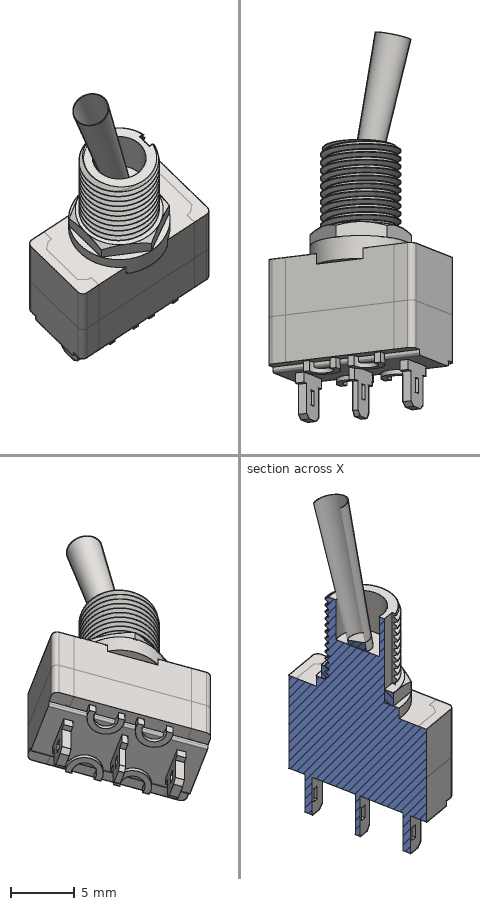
import cadquery as cq
import math


case_width = 6.8
case_length = 13.2
case_bottom = -8.47
case_corner_radius = 0.5
seam_z = -4.65

frame_half_length = 4.88
tongue_half_width = 2.46
tongue_bevel_x = 0.53
tongue_bevel_start = 5.22
tongue_end = 5.83

rib_width = 4.7
rib_bottom = -8.93
rib_edge_radius = 0.17
foot_bottom = -9.3
foot_outer_radius = 1.5
foot_inner_radius = 0.98
foot_flat_x = 3.06
foot_x = 2.75
foot_y = 2.0

terminal_half_shoulder = 1.44
terminal_tip_half_width = 0.55
terminal_slot_width = 0.45
terminal_slot_top = -10.15
terminal_slot_bottom = -11.35
end_terminal_y = 4.7
end_terminal_thickness = 0.75
end_terminal_half_width = 0.98
end_terminal_tip_bevel = 0.36
end_terminal_shoulder_z = -9.75
end_terminal_tip_z = -12.54
centre_terminal_thickness = 0.5
centre_terminal_half_width = 0.86
centre_terminal_tip_bevel = 0.43
centre_terminal_drop = 0.26

flange_diameter = 8.0
flange_top = 1.0
flange_bottom = -0.85
bushing_top = 9.0
bushing_bore_diameter = 4.2
bushing_bore_floor = 5.2
keyway_width = 1.2
keyway_floor_y = 2.58

thread_radius = 6.35 / 2
thread_pitch = 25.4 / 40
thread_root_radius = 2.81
thread_crest_flat = 0.06
thread_root_gap = 0.06
thread_embed = 0.1
thread_start_z = 0.575
thread_end_radius = 2.95

nut_corner_diameter = 8.0
nut_height = 1.25
nut_bevel_angle = 30.0

lever_tilt = 13.1
lever_pivot_z = bushing_bore_floor
lever_length = 12.81
lever_top_radius = 1.44
lever_pivot_radius = 0.97
lever_wall = 0.04
lever_bore_start = 0.6


def frame_half_outline():
    """Half of the frame plan, from the right side over the +Y tongue to the left side."""
    right_half = [
        (case_width / 2, frame_half_length),
        (tongue_half_width, frame_half_length),
        (tongue_half_width, tongue_bevel_start),
        (tongue_half_width - tongue_bevel_x, tongue_end),
    ]
    return right_half + [(-x, y) for x, y in reversed(right_half)]


def make_rib():
    """Central rib along the underside of the case, with rounded lower edges."""
    return (
        cq.Workplane("XY", origin=(0, 0, rib_bottom))
        .rect(rib_width, case_length)
        .extrude(case_bottom - rib_bottom)
        .edges("|Y and <Z")
        .fillet(rib_edge_radius)
    )


def make_case():
    """Rounded block with its rib, in flush zones divided by the frame outline and the seam."""
    outline = frame_half_outline()
    outline += [(-x, -y) for x, y in outline]
    case = None
    for bottom, top in ((case_bottom, seam_z), (seam_z, 0)):
        height = top - bottom
        block = (
            cq.Workplane("XY", origin=(0, 0, bottom))
            .rect(case_width, case_length)
            .extrude(height)
            .edges("|Z")
            .fillet(case_corner_radius)
        )
        frame = cq.Workplane("XY", origin=(0, 0, bottom)).polyline(outline).close().extrude(height)
        ends = block.cut(frame)
        if bottom == case_bottom:
            ends = ends.union(make_rib())
        layer = frame.union(ends, clean=False)
        case = layer if case is None else case.union(layer, clean=False)
    return case


def make_foot(side_x, side_y):
    """Ring-shaped foot, cut off flat so that it is open towards the outside of the case."""
    height = case_bottom - foot_bottom
    ring = (
        cq.Workplane("XY", origin=(side_x * foot_x, side_y * foot_y, foot_bottom))
        .circle(foot_outer_radius)
        .circle(foot_inner_radius)
        .extrude(height)
    )
    between_flats = (
        cq.Workplane("XY", origin=(0, 0, foot_bottom))
        .rect(2 * foot_flat_x, case_length)
        .extrude(height)
    )
    return ring.intersect(between_flats)


def make_terminal(y, thickness, half_width, tip_bevel, drop):
    """Shouldered solder lug with a bevelled tip and a wire slot; `drop` lowers its lower end."""
    shoulder_z = end_terminal_shoulder_z - drop
    tip_z = end_terminal_tip_z - drop
    right_side = [
        (terminal_half_shoulder, rib_bottom),
        (terminal_half_shoulder, shoulder_z),
        (half_width, shoulder_z),
        (half_width, tip_z + tip_bevel),
        (terminal_tip_half_width, tip_z),
    ]
    outline = right_side + [(-x, z) for x, z in reversed(right_side)]
    plane = cq.Workplane("XZ", origin=(0, y, 0))
    blade = plane.polyline(outline).close().extrude(thickness / 2, both=True)
    slot_height = terminal_slot_top - terminal_slot_bottom
    slot = (
        plane.center(0, (terminal_slot_top + terminal_slot_bottom) / 2)
        .rect(terminal_slot_width, slot_height)
        .extrude(thickness, both=True)
    )
    return blade.cut(slot)


def make_thread():
    """Helical V ridge, sunk slightly into the bushing core and trimmed at the bushing top."""
    half_base = (thread_pitch - thread_root_gap) / 2
    half_crest = thread_crest_flat / 2
    embedded_radius = thread_root_radius - thread_embed
    profile = [
        (embedded_radius, -half_base),
        (thread_root_radius, -half_base),
        (thread_radius, -half_crest),
        (thread_radius, half_crest),
        (thread_root_radius, half_base),
        (embedded_radius, half_base),
    ]
    helix_height = bushing_top + thread_pitch - thread_start_z
    helix = cq.Wire.makeHelix(thread_pitch, helix_height, thread_root_radius)
    ridge = cq.Workplane("XZ").polyline(profile).close().sweep(cq.Workplane(helix), isFrenet=True)
    threaded_zone = (
        cq.Workplane("XY", origin=(0, 0, flange_top))
        .circle(flange_diameter / 2)
        .extrude(bushing_top - flange_top)
        .faces(">Z")
        .chamfer(flange_diameter / 2 - thread_end_radius)
    )
    return ridge.translate((0, 0, thread_start_z)).intersect(threaded_zone)


def make_bushing():
    """Flange and threaded neck with a blind bore and a keyway on the +Y side."""
    neck_height = bushing_top - flange_top
    neck = cq.Workplane("XY", origin=(0, 0, flange_top)).circle(thread_root_radius).extrude(neck_height)
    neck = neck.union(make_thread())
    keyway = cq.Workplane("XY").box(
        keyway_width, thread_radius, neck_height, centered=(True, False, False)
    )
    neck = neck.cut(keyway.translate((0, keyway_floor_y, flange_top)))
    bore = (
        cq.Workplane("XY", origin=(0, 0, bushing_bore_floor))
        .circle(bushing_bore_diameter / 2)
        .extrude(bushing_top - bushing_bore_floor)
    )
    flange = (
        cq.Workplane("XY", origin=(0, 0, flange_bottom))
        .circle(flange_diameter / 2)
        .extrude(flange_top - flange_bottom)
    )
    return flange.union(neck.cut(bore))


def make_housing(fused_bushing):
    """Case, feet, terminals and bushing as one body."""
    housing = make_case()
    for side_x in (-1, 1):
        for side_y in (-1, 1):
            housing = housing.union(make_foot(side_x, side_y), clean=False)
    for y in (-end_terminal_y, end_terminal_y):
        end_terminal = make_terminal(
            y, end_terminal_thickness, end_terminal_half_width, end_terminal_tip_bevel, 0
        )
        housing = housing.union(end_terminal, clean=False)
    centre_terminal = make_terminal(
        0,
        centre_terminal_thickness,
        centre_terminal_half_width,
        centre_terminal_tip_bevel,
        centre_terminal_drop,
    )
    housing = housing.union(centre_terminal, clean=False)
    return housing.union(fused_bushing, clean=False)


def make_nut(mating_bushing):
    """Hex nut with bevelled top corners; its bore fits the thread and the keyway."""
    flat_radius = nut_corner_diameter / 2 * math.cos(math.pi / 6)
    corner_radius = nut_corner_diameter / 2
    bevel_drop = (corner_radius - flat_radius) * math.tan(math.radians(nut_bevel_angle))
    hexagon = (
        cq.Workplane("XY", origin=(0, 0, flange_top))
        .polygon(6, nut_corner_diameter)
        .extrude(nut_height)
    )
    bevel_envelope = (
        cq.Workplane("XZ", origin=(0, 0, flange_top))
        .moveTo(0, 0)
        .lineTo(corner_radius, 0)
        .lineTo(corner_radius, nut_height - bevel_drop)
        .lineTo(flat_radius, nut_height)
        .lineTo(0, nut_height)
        .close()
        .revolve()
    )
    return hexagon.intersect(bevel_envelope).cut(mating_bushing)


def make_lever():
    """Tapered hollow lever, tilted towards -Y and standing on the floor of the bushing bore."""
    taper = (lever_top_radius - lever_pivot_radius) / lever_length
    tail_length = lever_pivot_radius
    tail_radius = lever_pivot_radius - taper * tail_length
    bore_start_radius = lever_pivot_radius + taper * lever_bore_start - lever_wall
    lever = (
        cq.Workplane("XZ")
        .moveTo(0, -tail_length)
        .lineTo(tail_radius, -tail_length)
        .lineTo(lever_top_radius, lever_length)
        .lineTo(lever_top_radius - lever_wall, lever_length)
        .lineTo(bore_start_radius, lever_bore_start)
        .lineTo(0, lever_bore_start)
        .close()
        .revolve()
        .rotate((0, 0, 0), (1, 0, 0), lever_tilt)
        .translate((0, 0, lever_pivot_z))
    )
    below_floor = (
        cq.Workplane("XY", origin=(0, 0, bushing_bore_floor))
        .circle(bushing_bore_diameter / 2)
        .extrude(-2 * tail_length)
    )
    return lever.cut(below_floor)


bushing = make_bushing()
housing = make_housing(bushing)
nut = make_nut(bushing)
lever = make_lever()

result = cq.Compound.makeCompound([body.solids().val() for body in (housing, nut, lever)])